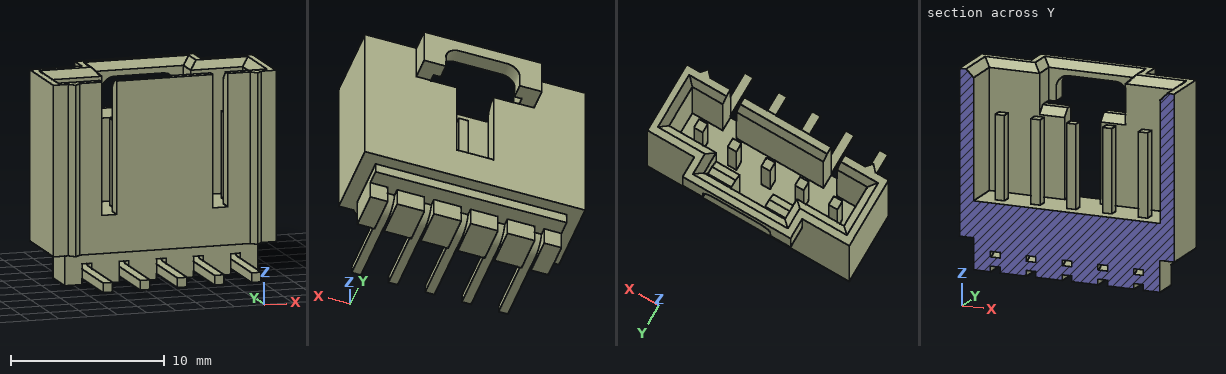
import cadquery as cq


width = 15.24
depth = 5.09
height = 11.43
wall = 1.02
cavity_depth = 8.88
floor_z = height - cavity_depth
front_inner_y = wall
back_wall = 1.07
back_inner_y = depth - back_wall
cavity_half_width = width / 2 - wall

bevel = 0.53
front_lip = 0.53

hood_width = 8.14
hood_back_y = 6.6
hood_height = 2.79
hood_bottom_z = height - hood_height
hood_inner_half_width = hood_width / 2 - wall
hood_inner_y = hood_back_y - wall
hood_window_width = 5.09
hood_window_height = 1.83
hood_window_radius = 0.91

front_slot_width = 1.02
front_slot_x = 3.8
back_slot_width = 2.55
back_sill_bevel = 0.53

rib_x = 6.22
rib_half_width = 0.38
rib_depth = 0.43

base_width = 13.21
base_front_y = 0.76
base_back_y = 4.31
base_step_y = 3.3
base_step_height = 0.78
base_height = 2.16

pin_count = 5
pin_pitch = width / 6
pin_size = 0.65
pin_y = 2.51
pin_end_y = -3.69
pin_axis_z = -1.45
pin_height = 5.79
pin_top_z = floor_z + pin_height
pin_bend_radius = 0.67
pin_positions = [(i - (pin_count - 1) / 2) * pin_pitch for i in range(pin_count)]


def block(x_range, y_range, z_range):
    """Axis-aligned box given by its lower and upper limits on each axis."""
    (x0, x1), (y0, y1), (z0, z1) = x_range, y_range, z_range
    return cq.Workplane("XY").box(x1 - x0, y1 - y0, z1 - z0, centered=False).translate((x0, y0, z0))


def centered_block(middle_x, size_x, y_range, z_range):
    """Box placed symmetrically about middle_x."""
    return block((middle_x - size_x / 2, middle_x + size_x / 2), y_range, z_range)


def make_shroud():
    shroud = centered_block(0, width, (0, depth), (0, height))
    hood = centered_block(0, hood_width, (back_inner_y, hood_back_y), (hood_bottom_z, height))
    shroud = shroud.union(hood)
    for side in (-1, 1):
        rib = (
            cq.Workplane("XY")
            .moveTo(side * rib_x - rib_half_width, 0)
            .lineTo(side * rib_x, -rib_depth)
            .lineTo(side * rib_x + rib_half_width, 0)
            .close()
            .extrude(height)
        )
        shroud = shroud.union(rib)
    return shroud


def make_bevel_cutter(half_width, front_y, back_y):
    """Frustum that opens a rectangular hole at 45 degrees up to the rim."""
    return (
        cq.Workplane("XY")
        .workplane(offset=height)
        .center(0, (front_y + back_y) / 2)
        .rect(2 * (half_width + bevel), back_y - front_y + 2 * bevel)
        .extrude(-bevel, taper=45)
    )


def make_mouth_bevel():
    main_bevel = make_bevel_cutter(cavity_half_width, front_inner_y, back_inner_y)
    hood_bevel = make_bevel_cutter(hood_inner_half_width, front_inner_y, hood_inner_y)
    behind_lip = centered_block(0, width, (front_lip, hood_back_y), (height - bevel, height))
    return main_bevel.union(hood_bevel).intersect(behind_lip)


def make_cavity():
    cavity = centered_block(0, 2 * cavity_half_width, (front_inner_y, back_inner_y), (floor_z, height))
    hood_cavity = centered_block(
        0, 2 * hood_inner_half_width, (back_inner_y, hood_inner_y), (hood_bottom_z, height)
    )
    sill_bevel = (
        cq.Workplane("YZ")
        .workplane(offset=-hood_inner_half_width)
        .moveTo(back_inner_y, hood_bottom_z)
        .lineTo(back_inner_y + back_sill_bevel, hood_bottom_z)
        .lineTo(back_inner_y, hood_bottom_z - back_sill_bevel)
        .close()
        .extrude(2 * hood_inner_half_width)
    )
    return cavity.union(hood_cavity).union(sill_bevel).union(make_mouth_bevel())


def make_slots():
    slots = centered_block(0, back_slot_width, (back_inner_y, depth), (floor_z, hood_bottom_z))
    for side in (-1, 1):
        front_slot = centered_block(
            side * front_slot_x, front_slot_width, (0, front_inner_y), (floor_z, height)
        )
        slots = slots.union(front_slot)
    return slots


def make_hood_window():
    """Arched opening in the back of the hood, rounded at its two upper corners."""
    window_top_z = hood_bottom_z + hood_window_height
    window = centered_block(
        0, hood_window_width, (hood_inner_y, hood_back_y), (hood_bottom_z, window_top_z)
    )
    return window.edges("|Y and >Z").fillet(hood_window_radius)


def make_base():
    upper = centered_block(0, base_width, (base_front_y, base_back_y), (-base_step_height, 0))
    lower = centered_block(0, base_width, (base_front_y, base_step_y), (-base_height, -base_step_height))
    base = upper.union(lower)
    for x in pin_positions:
        groove = centered_block(x, pin_size, (base_front_y, base_step_y), (-base_height, -base_step_height))
        base = base.cut(groove)
    return base


def make_pin(x):
    """Square pin that rises through the floor and bends forward under the shroud."""
    half = pin_size / 2
    outer_radius = pin_bend_radius + pin_size
    front, back = pin_y - half, pin_y + half
    bottom, top = pin_axis_z - half, pin_axis_z + half
    return (
        cq.Workplane("YZ")
        .workplane(offset=x - half)
        .moveTo(pin_end_y, bottom)
        .lineTo(back - outer_radius, bottom)
        .radiusArc((back, bottom + outer_radius), -outer_radius)
        .lineTo(back, pin_top_z)
        .lineTo(front, pin_top_z)
        .lineTo(front, top + pin_bend_radius)
        .radiusArc((front - pin_bend_radius, top), pin_bend_radius)
        .lineTo(pin_end_y, top)
        .close()
        .extrude(pin_size)
    )


result = make_shroud().cut(make_cavity()).cut(make_slots()).cut(make_hood_window())
result = result.union(make_base())
for pin_x in pin_positions:
    result = result.union(make_pin(pin_x))